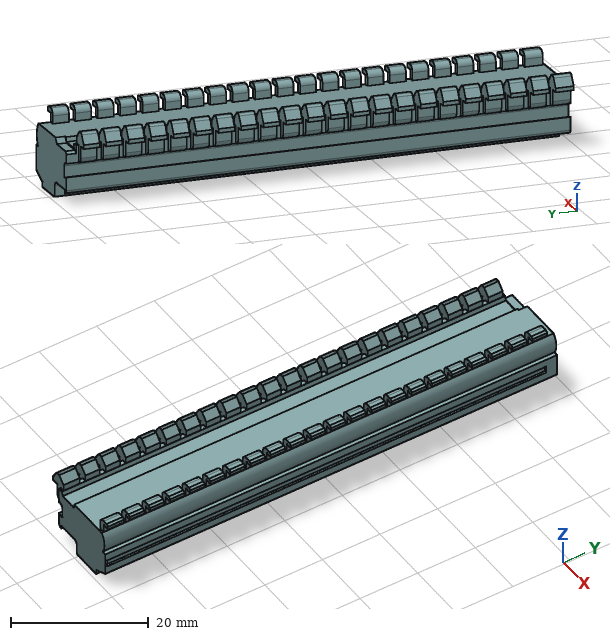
import cadquery as cq

RAIL_LENGTH = 78.5
TOP_Z = 9.3

GROOVE_Z = 8.55
GROOVE_LEFT = 1.0
GROOVE_RIGHT = 3.9
RIDGE_WIDTH = 0.8
GROOVE_DRAFT = 0.15

CHANNEL_DEPTH = 0.9
CHANNEL_TOP_Z = 6.6
CHANNEL_FILLET = 0.55
CHANNEL_FLOOR_Z = 4.2
LIP_TOP_Z = 4.5
LIP_BOTTOM_Z = 1.9
LIP_RADIUS = 0.6

SHELF_Z = 2.4
SHELF_FILLET = 0.59
FOOT_LEFT = 4.7
FOOT_RIGHT = 9.9
FOOT_RADIUS = 0.2
FOOT_STEP_Z = 0.8

RIGHT_X = 12.3
RIGHT_BOTTOM_Z = 1.9
RIGHT_TOP_Z = 5.7
LOBE_ROOT_X = 11.6
LOBE_CREST_X = 12.1
LOBE_CREST_Z = 7.8

SLOT_DEPTH = 0.4
SLOT_BOTTOM_Z = 3.2
SLOT_HEIGHT = 1.2

CLIP_COUNT = 22
CLIP_WIDTH = 2.5
LAST_CLIP_WIDTH = 2.8
FIRST_CLIP_GAP = 1.9
LAST_CLIP_GAP = 0.3
CLIP_TOP_Z = 11.5
STEM_THICKNESS = 0.95

BARB_TIP_X = -2.1
BARB_TIP_Z = 9.9
BARB_SHOULDER_X = -1.25
BARB_SHOULDER_Z = 11.2
BARB_CREST_LEFT = -0.8
BARB_CREST_RIGHT = -0.4
BARB_BACK_X = 0.745
BARB_BACK_Z = 10.4

HOOK_LEFT = 10.45
HOOK_TIP_X = 12.55
HOOK_UNDER_Z = 10.7
HOOK_CHAMFER_LENGTH = 0.4
HOOK_CHAMFER_DROP = 0.2

RELIEF_LENGTH = 1.5
RELIEF_Z = 8.4
RELIEF_CHAMFER = 0.4
RELIEF_RIGHT_BOTTOM = 3.9
RELIEF_RIGHT_TOP = 4.4

COS_45 = 0.5 ** 0.5
HOOK_RIGHT = HOOK_LEFT + STEM_THICKNESS
CLIP_ROW_LENGTH = RAIL_LENGTH - FIRST_CLIP_GAP - LAST_CLIP_GAP
CLIP_PITCH = (CLIP_ROW_LENGTH - LAST_CLIP_WIDTH) / (CLIP_COUNT - 1)


def section(y_start, x, z):
    """Start a profile at (x, z) in the XZ plane at y_start; extrude a negative length for +Y."""
    return cq.Workplane("XZ", origin=(0, y_start, 0)).moveTo(x, z)


def corner_arc(profile, centre_x, centre_z, radius, diagonal_signs, end):
    """Add a quarter arc whose midpoint lies diagonally from its centre."""
    sign_x, sign_z = diagonal_signs
    middle = (centre_x + sign_x * radius * COS_45, centre_z + sign_z * radius * COS_45)
    return profile.threePointArc(middle, end)


def rail():
    profile = (
        section(0, FOOT_LEFT + FOOT_RADIUS, 0)
        .lineTo(FOOT_RIGHT, 0)
        .lineTo(FOOT_RIGHT, FOOT_STEP_Z)
        .lineTo(RIGHT_X, RIGHT_BOTTOM_Z)
        .lineTo(RIGHT_X, RIGHT_TOP_Z)
        .lineTo(LOBE_ROOT_X, RIGHT_TOP_Z)
        .threePointArc((LOBE_CREST_X, LOBE_CREST_Z), (HOOK_RIGHT, TOP_Z))
        .lineTo(GROOVE_RIGHT + GROOVE_DRAFT, TOP_Z)
        .lineTo(GROOVE_RIGHT, GROOVE_Z)
        .lineTo(GROOVE_LEFT, GROOVE_Z)
        .lineTo(RIDGE_WIDTH, TOP_Z)
        .lineTo(0, TOP_Z)
        .lineTo(0, CHANNEL_TOP_Z)
        .lineTo(CHANNEL_DEPTH - CHANNEL_FILLET, CHANNEL_TOP_Z)
    )
    profile = corner_arc(
        profile, CHANNEL_DEPTH - CHANNEL_FILLET, CHANNEL_TOP_Z - CHANNEL_FILLET,
        CHANNEL_FILLET, (1, 1), (CHANNEL_DEPTH, CHANNEL_TOP_Z - CHANNEL_FILLET),
    )
    profile = (
        profile.lineTo(CHANNEL_DEPTH, CHANNEL_FLOOR_Z)
        .lineTo(0, LIP_TOP_Z)
        .lineTo(0, LIP_BOTTOM_Z + LIP_RADIUS)
    )
    profile = corner_arc(
        profile, LIP_RADIUS, LIP_BOTTOM_Z + LIP_RADIUS,
        LIP_RADIUS, (-1, -1), (LIP_RADIUS, LIP_BOTTOM_Z),
    )
    profile = profile.lineTo(LIP_RADIUS, SHELF_Z).lineTo(FOOT_LEFT - SHELF_FILLET, SHELF_Z)
    profile = corner_arc(
        profile, FOOT_LEFT - SHELF_FILLET, SHELF_Z - SHELF_FILLET,
        SHELF_FILLET, (1, 1), (FOOT_LEFT, SHELF_Z - SHELF_FILLET),
    )
    profile = profile.lineTo(FOOT_LEFT, FOOT_RADIUS)
    profile = corner_arc(
        profile, FOOT_LEFT + FOOT_RADIUS, FOOT_RADIUS,
        FOOT_RADIUS, (-1, -1), (FOOT_LEFT + FOOT_RADIUS, 0),
    )
    return profile.close().extrude(-RAIL_LENGTH)


def left_clip(y_start, width):
    profile = (
        section(y_start, 0, CHANNEL_TOP_Z)
        .lineTo(0, TOP_Z)
        .lineTo(BARB_BACK_X, TOP_Z)
        .lineTo(BARB_BACK_X, BARB_BACK_Z)
        .lineTo(BARB_CREST_RIGHT, CLIP_TOP_Z)
        .lineTo(BARB_CREST_LEFT, CLIP_TOP_Z)
        .tangentArcPoint((BARB_SHOULDER_X, BARB_SHOULDER_Z), relative=False)
        .lineTo(BARB_TIP_X, BARB_TIP_Z)
        .lineTo(BARB_TIP_X, TOP_Z)
        .lineTo(-STEM_THICKNESS, TOP_Z)
        .lineTo(-STEM_THICKNESS, CHANNEL_TOP_Z + STEM_THICKNESS)
    )
    profile = corner_arc(
        profile, 0, CHANNEL_TOP_Z + STEM_THICKNESS, STEM_THICKNESS, (-1, -1), (0, CHANNEL_TOP_Z)
    )
    return profile.close().extrude(-width)


def right_clip(y_start, width):
    profile = (
        section(y_start, HOOK_RIGHT, CLIP_TOP_Z)
        .lineTo(HOOK_TIP_X - HOOK_CHAMFER_LENGTH, CLIP_TOP_Z)
        .lineTo(HOOK_TIP_X, CLIP_TOP_Z - HOOK_CHAMFER_DROP)
        .lineTo(HOOK_TIP_X, HOOK_UNDER_Z)
        .lineTo(HOOK_RIGHT, HOOK_UNDER_Z)
        .lineTo(HOOK_RIGHT, TOP_Z)
        .lineTo(HOOK_LEFT, TOP_Z)
        .lineTo(HOOK_LEFT, CLIP_TOP_Z - STEM_THICKNESS)
    )
    profile = corner_arc(
        profile, HOOK_RIGHT, CLIP_TOP_Z - STEM_THICKNESS, STEM_THICKNESS, (-1, 1),
        (HOOK_RIGHT, CLIP_TOP_Z),
    )
    return profile.close().extrude(-width)


def end_relief():
    """Material above the relief floor, cut from the ridge and groove at the +Y end."""
    return (
        section(RAIL_LENGTH - RELIEF_LENGTH, 0, RELIEF_Z - RELIEF_CHAMFER)
        .lineTo(RELIEF_CHAMFER, RELIEF_Z)
        .lineTo(RELIEF_RIGHT_BOTTOM, RELIEF_Z)
        .lineTo(RELIEF_RIGHT_TOP, TOP_Z)
        .lineTo(0, TOP_Z)
        .close()
        .extrude(-RELIEF_LENGTH)
    )


def side_slot():
    return (
        section(LAST_CLIP_GAP, RIGHT_X - SLOT_DEPTH, SLOT_BOTTOM_Z)
        .lineTo(RIGHT_X, SLOT_BOTTOM_Z)
        .lineTo(RIGHT_X, SLOT_BOTTOM_Z + SLOT_HEIGHT)
        .lineTo(RIGHT_X - SLOT_DEPTH, SLOT_BOTTOM_Z + SLOT_HEIGHT)
        .close()
        .extrude(-CLIP_ROW_LENGTH)
    )


result = rail().cut(end_relief()).cut(side_slot())
for index in range(CLIP_COUNT):
    clip_end = RAIL_LENGTH - FIRST_CLIP_GAP - index * CLIP_PITCH
    clip_width = LAST_CLIP_WIDTH if index == CLIP_COUNT - 1 else CLIP_WIDTH
    clip_start = clip_end - clip_width
    result = result.union(left_clip(clip_start, clip_width))
    result = result.union(right_clip(clip_start, clip_width))